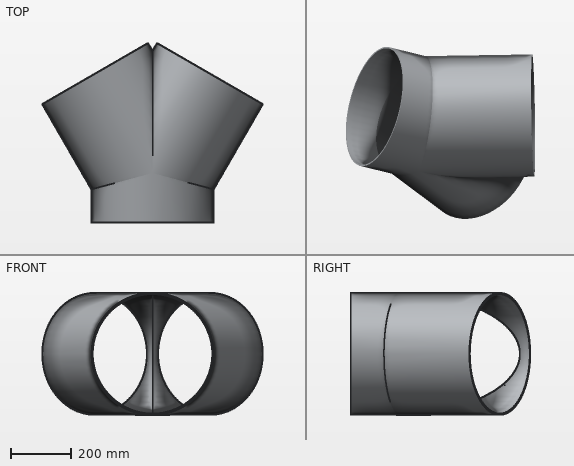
import cadquery as cq
import math

outer_diameter = 406.0
inner_diameter = 396.5
branch_angle = 30.0
overall_width = 733.0
overall_depth = 596.5

outer_radius = outer_diameter / 2
angle = math.radians(branch_angle)

branch_length = (overall_width / 2 - outer_radius * math.cos(angle)) / math.sin(angle)
junction_y = overall_depth - branch_length * math.cos(angle) - outer_radius * math.sin(angle)

reach = overall_width
mitre_drop = reach * math.tan(angle / 2)


def cylinder(diameter, length, start, direction):
    return cq.Workplane(cq.Solid.makeCylinder(diameter / 2, length, cq.Vector(*start), cq.Vector(*direction)))


def prism(points):
    """Tall clipping block with the given plan outline."""
    return cq.Workplane("XY").polyline(points).close().extrude(reach, both=True)


def inlet(diameter):
    below_mitres = prism([
        (0, junction_y),
        (reach, junction_y - mitre_drop),
        (reach, -reach),
        (-reach, -reach),
        (-reach, junction_y - mitre_drop),
    ])
    return cylinder(diameter, overall_depth, (0, 0, 0), (0, 1, 0)).intersect(below_mitres)


def right_branch(diameter):
    """Branch leaning toward +X, kept above its mitre and on its own side of X = 0."""
    run_x = math.sin(angle)
    run_y = math.cos(angle)
    start = (-diameter * run_x, junction_y - diameter * run_y, 0)
    own_side = prism([
        (0, junction_y),
        (reach, junction_y - mitre_drop),
        (reach, 2 * reach),
        (0, 2 * reach),
    ])
    return cylinder(diameter, diameter + branch_length, start, (run_x, run_y, 0)).intersect(own_side)


def wye(diameter):
    branch = right_branch(diameter)
    return inlet(diameter).union(branch).union(branch.mirror("YZ"))


result = wye(outer_diameter).cut(wye(inner_diameter))